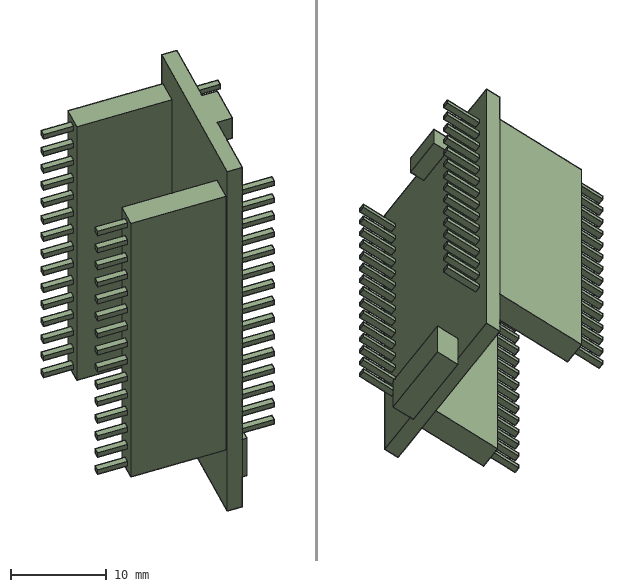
import cadquery as cq

BOARD_WIDTH = 18.4
BOARD_THICKNESS = 1.7
TOTAL_HEIGHT = 51.9
CONNECTOR_OVERHANG = 1.25
BOARD_HEIGHT = TOTAL_HEIGHT - CONNECTOR_OVERHANG

HEADER_SPACING = 15.2
HEADER_WIDTH = 2.55
HEADER_DEPTH = 10.7
HEADER_HEIGHT = 37.85
HEADER_TOP_GAP = 4.0

PINS_PER_HEADER = 15
PIN_PITCH = 2.55
PIN_SIZE = 0.7
PIN_FRONT_LENGTH = 3.35
PIN_BACK_LENGTH = 4.1

CONNECTOR_WIDTH = 8.05
CONNECTOR_DEPTH = 2.6
CONNECTOR_HEIGHT = 5.6
TOP_BLOCK_WIDTH = 4.25
TOP_BLOCK_DEPTH = 1.7
TOP_BLOCK_HEIGHT = 3.0

BOARD_FRONT_Y = -BOARD_THICKNESS
HEADER_FRONT_Y = BOARD_FRONT_Y - HEADER_DEPTH
HEADER_BOTTOM_Z = BOARD_HEIGHT - HEADER_TOP_GAP - HEADER_HEIGHT
HEADER_MID_Z = HEADER_BOTTOM_Z + HEADER_HEIGHT / 2


def block(width, depth, height, x_center, y_front, z_bottom):
    """Box centred on x_center that grows back from y_front and up from z_bottom."""
    return (
        cq.Workplane("XY")
        .box(width, depth, height, centered=(True, False, False))
        .translate((x_center, y_front, z_bottom))
    )


def header(x_center):
    """Header strip together with its column of pins."""
    strip = block(HEADER_WIDTH, HEADER_DEPTH, HEADER_HEIGHT, x_center, HEADER_FRONT_Y, HEADER_BOTTOM_Z)
    pin_length = PIN_FRONT_LENGTH + HEADER_DEPTH + BOARD_THICKNESS + PIN_BACK_LENGTH
    pins = (
        cq.Workplane("XZ", origin=(x_center, PIN_BACK_LENGTH, HEADER_MID_Z))
        .rarray(0.5, PIN_PITCH, 1, PINS_PER_HEADER)
        .rect(PIN_SIZE, PIN_SIZE)
        .extrude(pin_length)
    )
    return strip.union(pins)


board = block(BOARD_WIDTH, BOARD_THICKNESS, BOARD_HEIGHT, 0, BOARD_FRONT_Y, 0)
connector = block(CONNECTOR_WIDTH, CONNECTOR_DEPTH, CONNECTOR_HEIGHT, 0, 0, -CONNECTOR_OVERHANG)
top_block = block(
    TOP_BLOCK_WIDTH, TOP_BLOCK_DEPTH, TOP_BLOCK_HEIGHT, 0, 0, BOARD_HEIGHT - TOP_BLOCK_HEIGHT
)

result = board.union(connector).union(top_block)
for side in (-1, 1):
    result = result.union(header(side * HEADER_SPACING / 2))